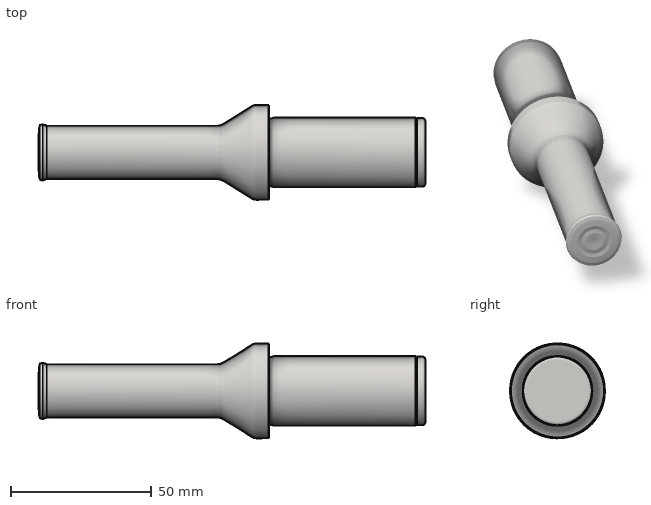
import cadquery as cq
import math

TOTAL_LENGTH = 138.0

TIP_RADIUS = 10.1
TIP_LIP_RADIUS = 9.8
TIP_FACE_RADIUS = 8.5
TIP_LIP_X = 0.5
TIP_RIM_X = 1.5
TIP_LENGTH = 3.0
RIDGE_RADIUS = 6.2
VALLEY_RADIUS = 4.8
CREST_RADIUS = 3.3
FACE_RISE = 0.1
VALLEY_DEPTH = 0.4
CREST_DEPTH = 0.1
DIMPLE_DEPTH = 0.5

NECK_RADIUS = 19.0 / 2
FLANGE_RADIUS = 34.0 / 2
FLANGE_BACK_X = 82.2
FLANGE_CORNER_X = 76.9
CONE_ANGLE = 32.0
NECK_FILLET = 5.5
FLANGE_FILLET = 3.0
FLANGE_CHAMFER = 0.4

SHANK_RADIUS = 25.0 / 2
RELIEF_RADIUS = 24.3 / 2
END_RADIUS = 24.5 / 2
LEAD_START_X = 83.0
SHANK_START_X = 84.2
SHANK_END_X = 134.3
GROOVE_X = 134.7
GROOVE_RADIUS = 24.3 / 2
END_LAND_X = 135.1
END_FILLET = 1.2

CONE_LENGTH = (FLANGE_RADIUS - NECK_RADIUS) / math.tan(math.radians(CONE_ANGLE))
CONE_START_X = FLANGE_CORNER_X - CONE_LENGTH


def revolve_about_x(points):
    """Revolve a closed outline of (x, radius) points about the X axis."""
    return cq.Workplane("XY").polyline(points).close().revolve(360, (0, 0, 0), (1, 0, 0))


def circle_at(x, radius):
    """Selector for the circular edge at the given station and radius."""
    margin = 0.01
    reach = radius + margin
    return cq.selectors.BoxSelector((x - margin, -reach, -reach), (x + margin, reach, reach), boundingbox=True)


def make_tip():
    """Round insert with a ridged face, tapering back to the neck."""
    return revolve_about_x([
        (DIMPLE_DEPTH, 0),
        (CREST_DEPTH, CREST_RADIUS),
        (VALLEY_DEPTH, VALLEY_RADIUS),
        (0, RIDGE_RADIUS),
        (FACE_RISE, TIP_FACE_RADIUS),
        (TIP_LIP_X, TIP_LIP_RADIUS),
        (TIP_RIM_X, TIP_RADIUS),
        (TIP_LENGTH, NECK_RADIUS),
        (TIP_LENGTH, 0),
    ])


def make_holder():
    """Neck, conical flange and rear shank in one piece."""
    holder = revolve_about_x([
        (TIP_LENGTH, 0),
        (TIP_LENGTH, NECK_RADIUS),
        (CONE_START_X, NECK_RADIUS),
        (FLANGE_CORNER_X, FLANGE_RADIUS),
        (FLANGE_BACK_X, FLANGE_RADIUS),
        (FLANGE_BACK_X, RELIEF_RADIUS),
        (LEAD_START_X, RELIEF_RADIUS),
        (SHANK_START_X, SHANK_RADIUS),
        (SHANK_END_X, SHANK_RADIUS),
        (SHANK_END_X, END_RADIUS),
        (GROOVE_X, GROOVE_RADIUS),
        (END_LAND_X, END_RADIUS),
        (TOTAL_LENGTH, END_RADIUS),
        (TOTAL_LENGTH, 0),
    ])
    holder = holder.edges(circle_at(CONE_START_X, NECK_RADIUS)).fillet(NECK_FILLET)
    holder = holder.edges(circle_at(FLANGE_CORNER_X, FLANGE_RADIUS)).fillet(FLANGE_FILLET)
    flange_rim = circle_at(FLANGE_BACK_X, FLANGE_RADIUS) - circle_at(FLANGE_BACK_X, RELIEF_RADIUS)
    holder = holder.edges(flange_rim).chamfer(FLANGE_CHAMFER)
    return holder.edges(circle_at(TOTAL_LENGTH, END_RADIUS)).fillet(END_FILLET)


tip = make_tip()
holder = make_holder()
result = cq.Compound.makeCompound([tip.val(), holder.val()])